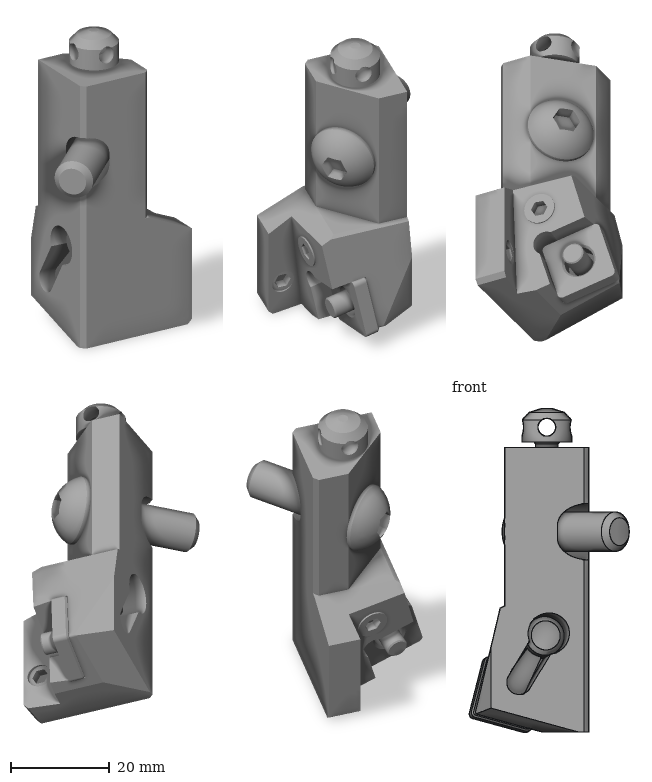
import cadquery as cq
import math


FAR = 52.4


def tan(degrees):
    return math.tan(math.radians(degrees))


shank_width = 17.05
shank_depth = 16.0
shank_top = 57.55
corner_chamfer = 1.0
screw_flat_start = 6.15

head_depth = 26.0
head_top = 25.5
shoulder_angle = 25.0
left_shoulder_width = 0.9
left_lean = 13.3
bottom_rise = 15.3
underside_start = -9.45
front_underside_start = -2.1
front_relief_depth = 7.1
facet_start = -19.8
facet_angle = 23.2
nose_radius = 0.45

rake_x = tan(9.0)
rake_z = tan(5.8)
rake_length = math.sqrt(1 + rake_x**2 + rake_z**2)
into_body = cq.Vector(rake_x, -1, rake_z)
gullet_offset = 19.35
gullet_wall_x = -5.85
gullet_wall_z = 23.25

shim_side = 12.7
shim_thickness = 3.2
shim_corner = 1.0
shim_edge_chamfer = 0.4
shim_hole_radius = 3.85
shim_offset = 15.1
shim_x = -16.8
shim_z = 7.4
sleeve_bore_radius = 3.15
sleeve_mouth = 0.45
pocket_relief_reach = 3.55

lever_slot_radius = 2.5
lever_slot_end_x = -14.1
lever_slot_end_z = 10.1
lever_slot_depth = 7.85
lever_thickness = 3.3
lever_end_radius = 2.4
lever_nose_half_width = 1.3
lever_pin_radius = 2.2
lever_pin_stand = 3.75
lever_pin_chamfer = 0.25
bore_radius = 4.1
bore_x = -8.1
bore_z = 19.9
bore_depth = 13.1
lever_screw_radius = 3.9
lever_screw_neck_radius = 3.2
lever_screw_tip_chamfer = 1.0
lever_screw_recess = 3.9
lever_screw_stand = 0.3
lever_screw_hex = 3.0
lever_screw_hex_depth = 1.95

set_screw_radius = 2.5
set_screw_hex = 3.0
set_screw_hex_depth = 1.95
set_screw_length = 5.0
set_screw_x = -5.8
set_screw_y = 22.7
set_screw_z = 7.35

clamp_z = 40.5
clamp_radius = 4.0
clamp_tip = 8.7
clamp_tip_chamfer = 1.2
clamp_head_radius = 6.95
clamp_rim = 0.8
clamp_dome_height = 4.5
clamp_hex = 5.0
clamp_hex_depth = 3.4
clamp_slot_radius = 4.5
clamp_slot_height = 11.4

height_screw_x = -8.5
height_screw_y = 8.0
height_screw_neck_radius = 2.3
height_screw_neck_flare = 0.3
height_screw_gap = 1.05
height_screw_radius = 5.05
height_screw_body_height = 4.45
height_screw_chamfer_radius = 3.55
height_screw_chamfer_height = 1.6
height_screw_top_radius = 1.05
height_screw_top_height = 0.8
height_screw_hole_radius = 1.8
height_screw_hole_height = 3.0
height_screw_stem_depth = 7.85


def rake_y(x, z, offset):
    """Y on the plane parallel to the rake plane that meets the Y axis at `offset`."""
    return offset + rake_x * x + rake_z * z


def rake_frame(x, z, offset, slope=0.0):
    """Frame on a rake-parallel plane: Z to the front, X to the right and falling by `slope`."""
    x_axis = cq.Vector(1, rake_x - rake_z * slope, -slope)
    return cq.Plane(origin=(x, rake_y(x, z, offset), z), xDir=x_axis, normal=into_body)


def turned(profile):
    """Solid of revolution about Z from a closed (radius, height) profile."""
    return profile.close().revolve(360, (0, 0, 0), (0, 1, 0))


def hexagon(across_flats):
    """Diameter across the corners of a hexagon."""
    return across_flats / math.cos(math.pi / 6)


def placed(body, frame):
    """Body built at the origin, moved into a frame."""
    return cq.Workplane(body.val().moved(cq.Location(frame)))


shim_frame = rake_frame(shim_x, shim_z, shim_offset, tan(bottom_rise))
bore_front_offset = -rake_x * bore_x - rake_z * bore_z
bore_frame = rake_frame(bore_x, bore_z, bore_front_offset)
clamp_frame = cq.Plane(origin=(0, 0, clamp_z), xDir=(1, 1, 0), normal=(1, -1, 0))
slot_end_front_offset = -rake_x * lever_slot_end_x - rake_z * lever_slot_end_z
slot_frame = rake_frame(lever_slot_end_x, lever_slot_end_z, slot_end_front_offset)
bore_in_slot = slot_frame.toLocalCoords(cq.Vector(bore_x, 0, bore_z))
slot_angle = math.degrees(math.atan2(bore_in_slot.y, bore_in_slot.x))
slot_length = math.hypot(bore_in_slot.x, bore_in_slot.y)
slot_floor_offset = slot_end_front_offset + lever_slot_depth * rake_length
clamp_seat = -(screw_flat_start + shank_width) / math.sqrt(2)
bore_to_gullet = (gullet_offset - bore_front_offset) / rake_length


def make_shank():
    flat_end = screw_flat_start - shank_depth + shank_width
    return (
        cq.Workplane("XY", origin=(0, 0, head_top))
        .moveTo(-shank_width, 0)
        .lineTo(-corner_chamfer, 0)
        .lineTo(0, corner_chamfer)
        .lineTo(0, shank_depth - corner_chamfer)
        .lineTo(-corner_chamfer, shank_depth)
        .lineTo(-flat_end, shank_depth)
        .lineTo(-shank_width, screw_flat_start)
        .close()
        .extrude(shank_top - head_top)
    )


def make_head_block():
    shoulder_x = -shank_width - left_shoulder_width
    shoulder_z = head_top - left_shoulder_width * tan(shoulder_angle)
    rise = tan(bottom_rise)
    lean = tan(left_lean)
    corner_x = (shoulder_x - lean * (shoulder_z - rise * underside_start)) / (1 + lean * rise)
    corner_z = rise * (underside_start - corner_x)
    return (
        cq.Workplane("XZ")
        .moveTo(0, 0)
        .lineTo(0, head_top)
        .lineTo(-shank_width, head_top)
        .lineTo(shoulder_x, shoulder_z)
        .lineTo(corner_x, corner_z)
        .lineTo(underside_start, 0)
        .close()
        .extrude(-head_depth)
        .edges(cq.selectors.NearestToPointSelector((corner_x, head_depth / 2, corner_z)))
        .fillet(nose_radius)
    )


def shape_head(head):
    back_drop = (head_depth - shank_depth) * tan(shoulder_angle)
    back_shoulder = (
        cq.Workplane("YZ")
        .polyline([(shank_depth, head_top), (head_depth, head_top), (head_depth, head_top - back_drop)])
        .close()
        .extrude(-FAR)
    )
    back_foot = (
        cq.Workplane("YZ")
        .polyline([(head_depth - corner_chamfer, 0), (head_depth, 0), (head_depth, corner_chamfer)])
        .close()
        .extrude(-FAR)
    )
    front_corner = (
        cq.Workplane("XY")
        .polyline([(-corner_chamfer, 0), (0, 0), (0, corner_chamfer)])
        .close()
        .extrude(head_top)
    )
    facet = (
        cq.Workplane("XY")
        .polyline([(facet_start, 0), (facet_start - head_depth * tan(facet_angle), head_depth), (-FAR, 0)])
        .close()
        .extrude(head_top)
    )
    rise = tan(bottom_rise)
    relief_rise = rise * (front_underside_start - underside_start) / front_relief_depth
    relief_frame = cq.Plane(
        origin=(front_underside_start, 0, 0), xDir=(1, 0, -rise), normal=(-rise, -relief_rise, -1)
    )
    relief = cq.Workplane(relief_frame).rect(2 * FAR, 2 * FAR).extrude(FAR)
    return head.cut(back_shoulder).cut(back_foot).cut(front_corner).cut(facet).cut(relief)


def gullet():
    frame = rake_frame(gullet_wall_x, gullet_wall_z, gullet_offset)
    return cq.Workplane(frame).center(-FAR / 2, 0).rect(FAR, 2 * FAR).extrude(-FAR)


def shim_pocket():
    half = shim_side / 2
    above = (gullet_offset - shim_offset) / rake_length
    depth = above + shim_thickness
    floor = cq.Workplane(shim_frame).workplane(offset=-above)
    pocket = floor.center(half - FAR / 2, half - FAR / 2).rect(FAR, FAR).extrude(depth)
    relief_centre = half - pocket_relief_reach / 2
    relief = (
        cq.Workplane(shim_frame)
        .workplane(offset=-above)
        .center(relief_centre, relief_centre)
        .circle(pocket_relief_reach / math.sqrt(2))
        .extrude(depth)
    )
    return pocket.union(relief)


def lever_slot():
    """Slot open to the front, from the end near the pin up to the screw bore."""
    return (
        cq.Workplane(slot_frame)
        .workplane(offset=-lever_slot_depth)
        .transformed(rotate=(0, 0, slot_angle))
        .center(slot_length / 2, 0)
        .slot2D(slot_length + 2 * lever_slot_radius, 2 * lever_slot_radius)
        .extrude(FAR)
    )


def lever_screw_hole():
    bore = cq.Workplane(bore_frame).workplane(offset=-bore_depth).circle(bore_radius).extrude(FAR)
    neck = cq.Workplane(bore_frame).circle(lever_screw_neck_radius).extrude(-FAR)
    return bore.union(neck)


def clamp_slot():
    frame = cq.Workplane(clamp_frame).workplane(offset=clamp_seat)
    return frame.slot2D(clamp_slot_height, 2 * clamp_slot_radius, 90).extrude(FAR)


def lever_pin_shaft(start_offset, end):
    """Cylinder on the shim axis, from a rake-parallel plane to a height above the shim."""
    start = (shim_offset - start_offset) / rake_length
    return cq.Workplane(shim_frame).workplane(offset=start).circle(lever_pin_radius).extrude(-start - end)


def set_screw_hole():
    face = cq.Workplane("YZ", origin=(-FAR, set_screw_y, set_screw_z))
    return face.circle(set_screw_radius).extrude(FAR + set_screw_x + set_screw_length)


def height_screw_hole():
    top = cq.Workplane("XY", origin=(height_screw_x, height_screw_y, shank_top))
    return top.circle(height_screw_neck_radius).extrude(-height_screw_stem_depth)


def make_holder():
    holder = shape_head(make_head_block())
    holder = holder.cut(gullet()).cut(shim_pocket())
    holder = holder.union(make_shank())
    holder = holder.cut(lever_slot()).cut(lever_screw_hole())
    holder = holder.cut(lever_pin_shaft(slot_floor_offset, 0))
    return holder.cut(clamp_slot()).cut(set_screw_hole()).cut(height_screw_hole())


def make_shim():
    return (
        cq.Workplane(shim_frame)
        .rect(shim_side, shim_side)
        .extrude(shim_thickness)
        .edges(cq.selectors.ParallelDirSelector(shim_frame.zDir))
        .fillet(shim_corner)
        .faces(cq.selectors.DirectionMinMaxSelector(shim_frame.zDir))
        .chamfer(shim_edge_chamfer)
        .cut(cq.Workplane(shim_frame).circle(shim_hole_radius).extrude(shim_thickness))
    )


def make_sleeve():
    """Ring in the shim's hole, with a flared mouth around the lever pin."""
    return (
        cq.Workplane(shim_frame)
        .circle(shim_hole_radius)
        .circle(sleeve_bore_radius)
        .extrude(shim_thickness)
        .faces(cq.selectors.DirectionMinMaxSelector(shim_frame.zDir, False))
        .edges(cq.selectors.RadiusNthSelector(0))
        .chamfer(sleeve_mouth)
    )


def make_lever():
    arm = (
        cq.Workplane(slot_frame)
        .workplane(offset=-lever_slot_depth)
        .transformed(rotate=(0, 0, slot_angle))
        .moveTo(0, lever_end_radius)
        .lineTo(slot_length, lever_nose_half_width)
        .lineTo(slot_length, -lever_nose_half_width)
        .lineTo(0, -lever_end_radius)
        .threePointArc((-lever_end_radius, 0), (0, lever_end_radius))
        .close()
        .extrude(lever_thickness)
    )
    pin = lever_pin_shaft(slot_floor_offset, lever_pin_stand)
    pin = pin.faces(cq.selectors.DirectionMinMaxSelector(shim_frame.zDir, False)).chamfer(lever_pin_chamfer)
    return arm.cut(lever_screw_hole()).union(pin)


def make_lever_screw():
    top = bore_to_gullet + lever_screw_stand
    profile = (
        cq.Workplane("XZ")
        .moveTo(0, lever_screw_recess)
        .lineTo(lever_screw_radius - lever_screw_tip_chamfer, lever_screw_recess)
        .lineTo(lever_screw_radius, lever_screw_recess + lever_screw_tip_chamfer)
        .lineTo(lever_screw_radius, bore_depth)
        .lineTo(lever_screw_neck_radius, bore_depth)
        .lineTo(lever_screw_neck_radius, top)
        .lineTo(0, top)
    )
    head = cq.Workplane("XY", origin=(0, 0, top))
    socket = head.polygon(6, hexagon(lever_screw_hex)).extrude(-lever_screw_hex_depth)
    outward = cq.Plane(origin=bore_frame.origin, xDir=bore_frame.xDir, normal=-bore_frame.zDir)
    return placed(turned(profile).cut(socket), outward)


def make_set_screw():
    face = cq.Workplane("YZ", origin=(set_screw_x, set_screw_y, set_screw_z))
    socket = face.polygon(6, hexagon(set_screw_hex)).extrude(set_screw_hex_depth)
    return face.circle(set_screw_radius).extrude(set_screw_length).cut(socket)


def make_clamp_screw():
    rim = clamp_seat - clamp_rim
    apex = rim - clamp_dome_height
    sphere = (clamp_head_radius**2 + clamp_dome_height**2) / (2 * clamp_dome_height)
    mid_radius = clamp_head_radius / 2
    dome_mid = (mid_radius, apex + sphere - math.sqrt(sphere**2 - mid_radius**2))
    profile = (
        cq.Workplane("XZ")
        .moveTo(0, apex)
        .threePointArc(dome_mid, (clamp_head_radius, rim))
        .lineTo(clamp_head_radius, clamp_seat)
        .lineTo(clamp_radius, clamp_seat)
        .lineTo(clamp_radius, clamp_tip - clamp_tip_chamfer)
        .lineTo(clamp_radius - clamp_tip_chamfer, clamp_tip)
        .lineTo(0, clamp_tip)
    )
    socket = cq.Workplane("XY", origin=(0, 0, apex)).polygon(6, hexagon(clamp_hex)).extrude(clamp_hex_depth)
    return placed(turned(profile).cut(socket), clamp_frame)


def make_height_screw():
    body_top = height_screw_gap + height_screw_body_height
    crown = body_top + height_screw_chamfer_height
    profile = (
        cq.Workplane("XZ")
        .moveTo(0, -height_screw_stem_depth)
        .lineTo(height_screw_neck_radius, -height_screw_stem_depth)
        .lineTo(height_screw_neck_radius, height_screw_gap - height_screw_neck_flare)
        .lineTo(height_screw_neck_radius + height_screw_neck_flare, height_screw_gap)
        .lineTo(height_screw_radius, height_screw_gap)
        .lineTo(height_screw_radius, body_top)
        .lineTo(height_screw_chamfer_radius, crown)
        .lineTo(height_screw_top_radius, crown + height_screw_top_height)
        .lineTo(0, crown + height_screw_top_height)
    )
    height_screw = turned(profile)
    for side in ("XZ", "YZ"):
        cross_hole = (
            cq.Workplane(side, origin=(0, 0, height_screw_gap + height_screw_hole_height))
            .circle(height_screw_hole_radius)
            .extrude(height_screw_radius, both=True)
        )
        height_screw = height_screw.cut(cross_hole)
    return height_screw.translate((height_screw_x, height_screw_y, shank_top))


holder = make_holder()
shim = make_shim()
sleeve = make_sleeve()
lever = make_lever()
lever_screw = make_lever_screw()
set_screw = make_set_screw()
clamp_screw = make_clamp_screw()
height_screw = make_height_screw()
result = cq.Compound.makeCompound(
    [
        holder.val(),
        shim.val(),
        sleeve.val(),
        lever.val(),
        lever_screw.val(),
        set_screw.val(),
        clamp_screw.val(),
        height_screw.val(),
    ]
)